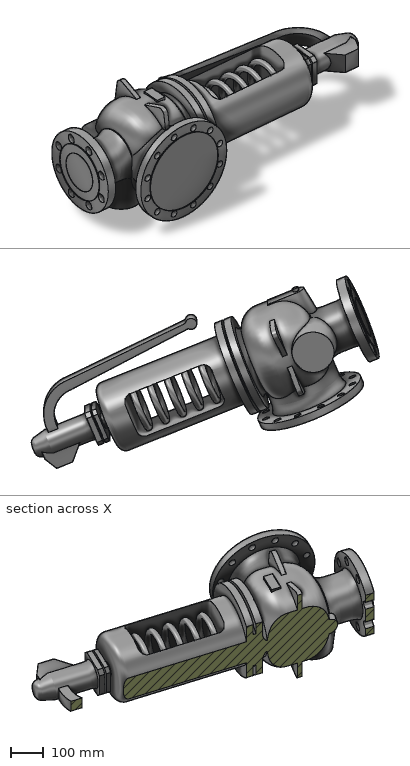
import cadquery as cq
import math


INLET_LENGTH = 250.0
OUTLET_LENGTH = 200.0
TOP_Y = 837.0
RAISED_FACE = 3.0

INLET_FLANGE_RADIUS = 135.0
INLET_FLANGE_THICKNESS = 29.0
INLET_FACE_RADIUS = 94.0
INLET_BORE_RADIUS = 63.5
INLET_BORE_RECESS = 1.0
INLET_NECK_RADIUS = 75.5
INLET_NECK_BOTTOM_Y = -189.0
INLET_NECK_TOP_Y = -147.0
INLET_FLANGE_ROOT_RADIUS = 82.0
INLET_BODY_ROOT_RADIUS = 87.0
INLET_BOLT_COUNT = 8
INLET_BOLT_CIRCLE_RADIUS = 110.0
INLET_BOLT_DIAMETER = 28.0

OUTLET_FLANGE_RADIUS = 170.0
OUTLET_FLANGE_THICKNESS = 24.0
OUTLET_FACE_RADIUS = 134.0
OUTLET_NECK_RADIUS = 112.5
OUTLET_NECK_END_X = 141.0
OUTLET_FLANGE_ROOT_RADIUS = 121.0
OUTLET_BOLT_COUNT = 12
OUTLET_BOLT_CIRCLE_RADIUS = 147.5
OUTLET_BOLT_DIAMETER = 22.0

BODY_RADIUS = 154.0
BODY_BELT_BOTTOM_Y = -19.5
BODY_BELT_TOP_Y = 40.0
BODY_BOTTOM_Y = -108.0
BODY_TOP_Y = 108.5
BODY_TOP_RADIUS = 105.0
BODY_NECK_ROOT_RADIUS = 114.0

JOINT_RADIUS = 150.5
JOINT_BOTTOM_Y = 123.5
JOINT_FLANGE_THICKNESS = 23.5
JOINT_GAP = 7.0
JOINT_GASKET_RADIUS = 123.0

BONNET_RADIUS = 112.0
BONNET_TOP_Y = 592.0
BONNET_EDGE_RADIUS = 25.0
WINDOW_WIDTH = 143.0
WINDOW_BOTTOM_Y = 229.0
WINDOW_TOP_Y = 514.0
WINDOW_CORNER_RADIUS = 25.0

COIL_COUNT = 5
COIL_FIRST_Y = 259.0
COIL_PITCH = 56.3
COIL_RADIUS = 72.0
COIL_WIRE_RADIUS = 10.0

STEM_RADIUS = 24.0
CAP_FLANGE_WIDTH = 110.0
CAP_FLANGE_CORNER = 14.0
CAP_FLANGE_BOTTOM_Y = 608.0
CAP_LOWER_FLANGE_THICKNESS = 14.0
CAP_FLANGE_GAP = 5.0
CAP_GASKET_RADIUS = 45.0
CAP_UPPER_FLANGE_THICKNESS = 18.0
CAP_RADIUS = 42.5
CAP_FOOT_RADIUS = 46.0
CAP_FOOT_TOP_Y = 664.0
CAP_CONE_BOTTOM_Y = 782.0
CAP_CONE_TOP_Y = 823.0
CAP_CONE_TOP_RADIUS = 32.0
CAP_TIP_RADIUS = 15.0

HOUSING_THICKNESS = 66.0
HOUSING_OUTER_X = 75.5
HOUSING_FLAT_X = 26.0
HOUSING_SHOULDER_X = 34.5
HOUSING_TOP_Y = 814.0
HOUSING_OUTER_TOP_Y = 792.0
HOUSING_OUTER_BOTTOM_Y = 739.0
HOUSING_BOTTOM_Y = 694.0

LEVER_THICKNESS = 44.0
LEVER_OUTER_BEND = 117.0
LEVER_INNER_BEND = 85.0
LEVER_BEND_X = -50.0
LEVER_BEND_Y = 656.0
LEVER_KNOB_RADIUS = 17.52
LEVER_KNOB_X = -186.8
LEVER_KNOB_Y = 239.5
LEVER_END_WIDTH = 19.0
LEVER_KNOB_FILLET = 12.0

PAD_WIDTH = 62.0
PAD_BOTTOM_Y = 32.0
PAD_TOP_Y = 63.0
PAD_FACE_Z = 158.0
PAD_ROOT_Z = 120.0

FOOT_THICKNESS = 16.0
FOOT_TIP_RADIUS = 20.0
FOOT_TIP_X = 92.5
FOOT_REACH_Z = 181.0
FOOT_SIDE_ANGLE = 8.0
FOOT_SLOPE_ANGLE = 22.0
FOOT_SLOPE_END_X = 14.0
FOOT_SIDE_END_Z = 60.0

DRAIN_FACE_X = -155.0
DRAIN_RADIUS = 25.0
DRAIN_Y = -94.0
DRAIN_END_Y = 1.0
DRAIN_DEPTH = 90.0
DRAIN_TAPER = 8.0
DRAIN_PLUG_RADIUS = 9.5
DRAIN_PLUG_HEIGHT = 9.5
BASE_FACE_Z = -166.5
BASE_RADIUS = 64.0
BASE_Y = -85.0
BASE_DEPTH = 150.0
BASE_TAPER = 5.5


def concave_middle(neck, root):
    """Middle point of the arc that leaves the neck line tangentially and flares out to root.

    Both points are (radius, position along the axis).
    """
    flare = root[0] - neck[0]
    length = root[1] - neck[1]
    bend = (flare ** 2 + length ** 2) / (2 * flare)
    half_angle = math.asin(abs(length) / bend) / 2
    radius = neck[0] + bend * (1 - math.cos(half_angle))
    along = neck[1] + math.copysign(bend * math.sin(half_angle), length)
    return radius, along


def shoulder_middle(belt_y, end):
    """Middle point of the convex arc tangent to the body belt at belt_y and ending at end."""
    inset = BODY_RADIUS - end[0]
    length = end[1] - belt_y
    bend = (inset ** 2 + length ** 2) / (2 * inset)
    half_angle = math.asin(abs(length) / bend) / 2
    radius = BODY_RADIUS - bend * (1 - math.cos(half_angle))
    along = belt_y + math.copysign(bend * math.sin(half_angle), length)
    return radius, along


def cylinder_y(radius, bottom_y, top_y):
    """Solid cylinder on the Y axis."""
    return cq.Workplane("XZ", origin=(0, bottom_y, 0)).circle(radius).extrude(bottom_y - top_y)


def revolve_y(profile):
    """Close a profile drawn as (radius, Y) and turn it about the Y axis."""
    return profile.close().revolve(360, (0, 0, 0), (0, 1, 0))


def make_body():
    """Inlet neck, bowl and top neck as one turned shape."""
    flange_y = RAISED_FACE + INLET_FLANGE_THICKNESS - INLET_LENGTH
    flange_root = (INLET_FLANGE_ROOT_RADIUS, flange_y)
    neck_bottom = (INLET_NECK_RADIUS, INLET_NECK_BOTTOM_Y)
    neck_top = (INLET_NECK_RADIUS, INLET_NECK_TOP_Y)
    body_root = (INLET_BODY_ROOT_RADIUS, BODY_BOTTOM_Y)
    bowl_bottom = (BODY_RADIUS - (BODY_BELT_BOTTOM_Y - BODY_BOTTOM_Y), BODY_BOTTOM_Y)
    bowl_top = (BODY_TOP_RADIUS, BODY_TOP_Y)
    top_root = (BODY_NECK_ROOT_RADIUS, JOINT_BOTTOM_Y)
    bowl = revolve_y(
        cq.Workplane("XY")
        .moveTo(0, BODY_BOTTOM_Y)
        .lineTo(*bowl_bottom)
        .threePointArc(shoulder_middle(BODY_BELT_BOTTOM_Y, bowl_bottom), (BODY_RADIUS, BODY_BELT_BOTTOM_Y))
        .lineTo(BODY_RADIUS, BODY_BELT_TOP_Y)
        .threePointArc(shoulder_middle(BODY_BELT_TOP_Y, bowl_top), bowl_top)
        .threePointArc(concave_middle(bowl_top, top_root), top_root)
        .lineTo(0, JOINT_BOTTOM_Y)
    )
    neck = revolve_y(
        cq.Workplane("XY")
        .moveTo(0, flange_y)
        .lineTo(*flange_root)
        .threePointArc(concave_middle(neck_bottom, flange_root), neck_bottom)
        .lineTo(*neck_top)
        .threePointArc(concave_middle(neck_top, body_root), body_root)
        .lineTo(INLET_BODY_ROOT_RADIUS, BODY_BELT_BOTTOM_Y)
        .lineTo(0, BODY_BELT_BOTTOM_Y)
    )
    return bowl.union(neck)


def make_inlet_flange():
    back_y = RAISED_FACE + INLET_FLANGE_THICKNESS - INLET_LENGTH
    flange = cylinder_y(INLET_FLANGE_RADIUS, RAISED_FACE - INLET_LENGTH, back_y)
    return flange.union(cylinder_y(INLET_FACE_RADIUS, -INLET_LENGTH, back_y))


def make_inlet_cuts():
    """Shallow bore recess and the bolt holes, straddling the flange's centre lines."""
    bore = cylinder_y(INLET_BORE_RADIUS, -INLET_LENGTH, INLET_BORE_RECESS - INLET_LENGTH)
    half_step = 180 / INLET_BOLT_COUNT
    bolts = (
        cq.Workplane("XZ", origin=(0, -INLET_LENGTH, 0))
        .polarArray(INLET_BOLT_CIRCLE_RADIUS, half_step, 360, INLET_BOLT_COUNT)
        .circle(INLET_BOLT_DIAMETER / 2)
        .extrude(-RAISED_FACE - INLET_FLANGE_THICKNESS)
    )
    return bore.union(bolts)


def make_outlet():
    """Outlet neck and drilled flange along +X."""
    face_x = OUTLET_LENGTH - RAISED_FACE
    back_x = face_x - OUTLET_FLANGE_THICKNESS
    neck_end = (OUTLET_NECK_RADIUS, OUTLET_NECK_END_X)
    flange_root = (OUTLET_FLANGE_ROOT_RADIUS, back_x)
    middle_radius, middle_x = concave_middle(neck_end, flange_root)
    outlet = (
        cq.Workplane("XY")
        .lineTo(0, OUTLET_NECK_RADIUS)
        .lineTo(OUTLET_NECK_END_X, OUTLET_NECK_RADIUS)
        .threePointArc((middle_x, middle_radius), (back_x, OUTLET_FLANGE_ROOT_RADIUS))
        .lineTo(back_x, OUTLET_FLANGE_RADIUS)
        .lineTo(face_x, OUTLET_FLANGE_RADIUS)
        .lineTo(face_x, OUTLET_FACE_RADIUS)
        .lineTo(OUTLET_LENGTH, OUTLET_FACE_RADIUS)
        .lineTo(OUTLET_LENGTH, 0)
        .close()
        .revolve(360, (0, 0, 0), (1, 0, 0))
    )
    half_step = 180 / OUTLET_BOLT_COUNT
    bolts = (
        cq.Workplane("YZ", origin=(back_x, 0, 0))
        .polarArray(OUTLET_BOLT_CIRCLE_RADIUS, half_step, 360, OUTLET_BOLT_COUNT)
        .circle(OUTLET_BOLT_DIAMETER / 2)
        .extrude(OUTLET_FLANGE_THICKNESS)
    )
    return outlet.cut(bolts)


def make_joint():
    """Flange pair between body and bonnet, held apart by a narrower gasket."""
    lower_top = JOINT_BOTTOM_Y + JOINT_FLANGE_THICKNESS
    upper_bottom = lower_top + JOINT_GAP
    upper_top = upper_bottom + JOINT_FLANGE_THICKNESS
    lower = cylinder_y(JOINT_RADIUS, JOINT_BOTTOM_Y, lower_top)
    upper = cylinder_y(JOINT_RADIUS, upper_bottom, upper_top)
    return lower.union(cylinder_y(JOINT_GASKET_RADIUS, lower_top, upper_bottom)).union(upper)


def make_bonnet():
    """Bonnet with rounded top edge and a window cut right through along Z."""
    bottom_y = JOINT_BOTTOM_Y + 2 * JOINT_FLANGE_THICKNESS + JOINT_GAP
    bonnet = cylinder_y(BONNET_RADIUS, bottom_y, BONNET_TOP_Y).faces(">Y").edges().fillet(BONNET_EDGE_RADIUS)
    window = (
        cq.Workplane("XY")
        .center(0, (WINDOW_BOTTOM_Y + WINDOW_TOP_Y) / 2)
        .rect(WINDOW_WIDTH, WINDOW_TOP_Y - WINDOW_BOTTOM_Y)
        .extrude(BONNET_RADIUS, both=True)
        .edges("|Z")
        .fillet(WINDOW_CORNER_RADIUS)
    )
    bonnet = bonnet.cut(window)
    for index in range(COIL_COUNT):
        coil_y = COIL_FIRST_Y + index * COIL_PITCH
        coil = (
            cq.Workplane("XY")
            .center(COIL_RADIUS, coil_y)
            .circle(COIL_WIRE_RADIUS)
            .revolve(360, (-COIL_RADIUS, 0, 0), (-COIL_RADIUS, 1, 0))
        )
        bonnet = bonnet.union(coil)
    return bonnet


def make_cap_flange(bottom_y, thickness):
    """Square plate with chamfered corners."""
    return (
        cq.Workplane("XZ", origin=(0, bottom_y, 0))
        .rect(CAP_FLANGE_WIDTH, CAP_FLANGE_WIDTH)
        .extrude(-thickness)
        .edges("|Y")
        .chamfer(CAP_FLANGE_CORNER)
    )


def make_cap():
    lower_top = CAP_FLANGE_BOTTOM_Y + CAP_LOWER_FLANGE_THICKNESS
    upper_bottom = lower_top + CAP_FLANGE_GAP
    cap_bottom = upper_bottom + CAP_UPPER_FLANGE_THICKNESS
    cap = cylinder_y(STEM_RADIUS, BONNET_TOP_Y, CAP_FLANGE_BOTTOM_Y)
    cap = cap.union(make_cap_flange(CAP_FLANGE_BOTTOM_Y, CAP_LOWER_FLANGE_THICKNESS))
    cap = cap.union(cylinder_y(CAP_GASKET_RADIUS, lower_top, upper_bottom))
    cap = cap.union(make_cap_flange(upper_bottom, CAP_UPPER_FLANGE_THICKNESS))
    foot_root = (CAP_FOOT_RADIUS, cap_bottom)
    foot_top = (CAP_RADIUS, CAP_FOOT_TOP_Y)
    tower = revolve_y(
        cq.Workplane("XY")
        .moveTo(0, cap_bottom)
        .lineTo(*foot_root)
        .threePointArc(concave_middle(foot_top, foot_root), foot_top)
        .lineTo(CAP_RADIUS, CAP_CONE_BOTTOM_Y)
        .lineTo(CAP_CONE_TOP_RADIUS, CAP_CONE_TOP_Y)
        .tangentArcPoint((CAP_TIP_RADIUS, TOP_Y), relative=False)
        .lineTo(0, TOP_Y)
    )
    return cap.union(tower)


def make_lever_housing():
    outline = [
        (0, HOUSING_TOP_Y),
        (HOUSING_SHOULDER_X, HOUSING_TOP_Y),
        (HOUSING_OUTER_X, HOUSING_OUTER_TOP_Y),
        (HOUSING_OUTER_X, HOUSING_OUTER_BOTTOM_Y),
        (HOUSING_FLAT_X, HOUSING_BOTTOM_Y),
        (0, HOUSING_BOTTOM_Y),
    ]
    return cq.Workplane("XY").polyline(outline).close().extrude(HOUSING_THICKNESS / 2, both=True)


def make_lever():
    """Bent lever of tapering width with a round knob at its free end."""
    diagonal = math.sqrt(0.5)
    half_end = LEVER_END_WIDTH / 2
    outer_middle = (LEVER_BEND_X - LEVER_OUTER_BEND * diagonal, LEVER_BEND_Y + LEVER_OUTER_BEND * diagonal)
    inner_middle = (LEVER_BEND_X - LEVER_INNER_BEND * diagonal, LEVER_BEND_Y + LEVER_INNER_BEND * diagonal)
    arm = (
        cq.Workplane("XY")
        .moveTo(0, LEVER_BEND_Y + LEVER_OUTER_BEND)
        .lineTo(LEVER_BEND_X, LEVER_BEND_Y + LEVER_OUTER_BEND)
        .threePointArc(outer_middle, (LEVER_BEND_X - LEVER_OUTER_BEND, LEVER_BEND_Y))
        .lineTo(LEVER_KNOB_X - half_end, LEVER_KNOB_Y)
        .lineTo(LEVER_KNOB_X + half_end, LEVER_KNOB_Y)
        .lineTo(LEVER_BEND_X - LEVER_INNER_BEND, LEVER_BEND_Y)
        .threePointArc(inner_middle, (LEVER_BEND_X, LEVER_BEND_Y + LEVER_INNER_BEND))
        .lineTo(0, LEVER_BEND_Y + LEVER_INNER_BEND)
        .close()
        .extrude(LEVER_THICKNESS / 2, both=True)
    )
    knob = (
        cq.Workplane("XY")
        .center(LEVER_KNOB_X, LEVER_KNOB_Y)
        .circle(LEVER_KNOB_RADIUS)
        .extrude(LEVER_THICKNESS / 2, both=True)
    )
    lever = arm.union(knob)
    outer_corner = cq.selectors.BoxSelector(
        (LEVER_KNOB_X - LEVER_KNOB_RADIUS, LEVER_KNOB_Y, -LEVER_THICKNESS),
        (LEVER_KNOB_X, LEVER_KNOB_Y + LEVER_KNOB_RADIUS, LEVER_THICKNESS),
    )
    return lever.edges("|Z").edges(outer_corner).fillet(LEVER_KNOB_FILLET)


def make_foot():
    """Foot in the +X +Z quadrant: a round tip whose tangent sides run down into the body."""
    tip_z = FOOT_REACH_Z - FOOT_TIP_RADIUS

    def tip_point(degrees):
        angle = math.radians(degrees)
        return FOOT_TIP_X + FOOT_TIP_RADIUS * math.cos(angle), tip_z + FOOT_TIP_RADIUS * math.sin(angle)

    slope_angle = 90 + FOOT_SLOPE_ANGLE
    side_start = tip_point(FOOT_SIDE_ANGLE)
    slope_start = tip_point(slope_angle)
    side_end_x = side_start[0] + (side_start[1] - FOOT_SIDE_END_Z) * math.tan(math.radians(FOOT_SIDE_ANGLE))
    slope_run = slope_start[0] - FOOT_SLOPE_END_X
    slope_end_z = slope_start[1] - slope_run * math.tan(math.radians(FOOT_SLOPE_ANGLE))
    return (
        cq.Workplane("XZ")
        .moveTo(side_end_x, FOOT_SIDE_END_Z)
        .lineTo(*side_start)
        .threePointArc(tip_point((FOOT_SIDE_ANGLE + slope_angle) / 2), slope_start)
        .lineTo(FOOT_SLOPE_END_X, slope_end_z)
        .lineTo(FOOT_SLOPE_END_X, FOOT_SIDE_END_Z)
        .close()
        .extrude(FOOT_THICKNESS / 2, both=True)
    )


def make_feet():
    upper_right = make_foot()
    upper = upper_right.union(upper_right.mirror("YZ"))
    return upper.union(upper.mirror("XY"))


def make_name_pad():
    """Plain rectangular pad standing slightly proud of the body on the +Z side."""
    return (
        cq.Workplane("XY", origin=(0, 0, PAD_ROOT_Z))
        .center(0, (PAD_BOTTOM_Y + PAD_TOP_Y) / 2)
        .rect(PAD_WIDTH, PAD_TOP_Y - PAD_BOTTOM_Y)
        .extrude(PAD_FACE_Z - PAD_ROOT_Z)
    )


def make_drain_pad():
    """Round-ended pad on the -X side, widening inward, with a small plug on its face."""
    pad = (
        cq.Workplane("YZ", origin=(DRAIN_FACE_X, 0, 0))
        .moveTo(DRAIN_END_Y, -DRAIN_RADIUS)
        .lineTo(DRAIN_Y, -DRAIN_RADIUS)
        .threePointArc((DRAIN_Y - DRAIN_RADIUS, 0), (DRAIN_Y, DRAIN_RADIUS))
        .lineTo(DRAIN_END_Y, DRAIN_RADIUS)
        .close()
        .extrude(DRAIN_DEPTH, taper=-DRAIN_TAPER)
    )
    plug = (
        cq.Workplane("YZ", origin=(DRAIN_FACE_X, DRAIN_Y, 0))
        .circle(DRAIN_PLUG_RADIUS)
        .extrude(-DRAIN_PLUG_HEIGHT)
    )
    return pad.union(plug)


def make_base_boss():
    """Round boss on the -Z side, widening toward the body."""
    return (
        cq.Workplane("XY", origin=(0, BASE_Y, BASE_FACE_Z))
        .circle(BASE_RADIUS)
        .extrude(BASE_DEPTH, taper=-BASE_TAPER)
    )


result = make_body()
result = result.union(make_outlet())
result = result.union(make_feet())
result = result.union(make_name_pad())
result = result.union(make_drain_pad())
result = result.union(make_base_boss())
result = result.union(make_inlet_flange())
result = result.cut(make_inlet_cuts())
result = result.union(make_joint())
result = result.union(make_bonnet())
result = result.union(make_cap())
result = result.union(make_lever_housing())
result = result.union(make_lever())